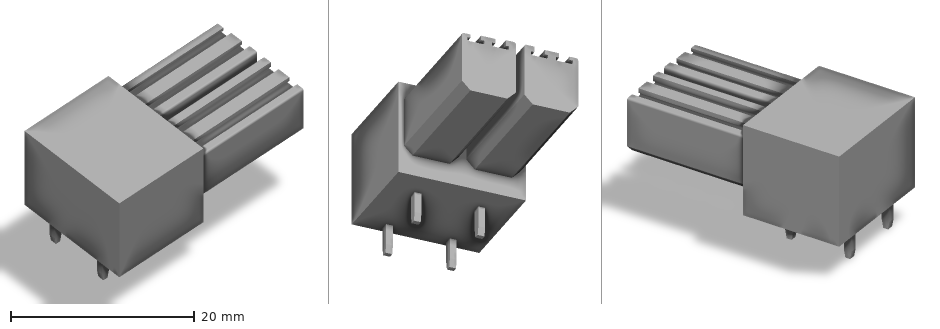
import cadquery as cq

BLOCK_WIDTH = 15.23
BLOCK_DEPTH = 12.5
BLOCK_HEIGHT = 11.4
TOTAL_LENGTH = 28.0

PITCH = 7.62

PLUG_LENGTH = TOTAL_LENGTH - BLOCK_DEPTH
PLUG_WIDTH = 6.45
PLUG_GAP = 1.0
PLUG_HEIGHT = 7.35
PLUG_DROP = 1.6
PLUG_CHAMFER = 1.0
PLUG_FILLET = 0.25
RIB_STEP = 0.15

CENTRE_RIB_WIDTH = 1.7
SLOT_WIDTH = 1.25
SLOT_DEPTH = 1.0
LIP_THICKNESS = 0.55
UNDERCUT = 0.4
UNDERCUT_FILLET = 0.22

PIN_LENGTH = 3.5
PIN_WIDTH = 0.8
PIN_THICKNESS = 1.0
PIN_TIP_THICKNESS = 0.62
PIN_TAPER_LENGTH = 1.0
FRONT_PIN_Y = 1.1

BLOCK_TOP = PIN_LENGTH + BLOCK_HEIGHT
PLUG_TOP = BLOCK_TOP - PLUG_DROP
PLUG_BOTTOM = PLUG_TOP - PLUG_HEIGHT
CENTRE_RIB_X = -PITCH / 2
CENTRE_RIB_TOP = PLUG_TOP - RIB_STEP
OUTER_RIB_TOP = CENTRE_RIB_TOP - RIB_STEP
SLOT_OFFSET = (CENTRE_RIB_WIDTH + SLOT_WIDTH) / 2


def box_between(x_min, x_max, y_min, y_max, z_min, z_max):
    """Box given by its limits along each axis."""
    size = (x_max - x_min, y_max - y_min, z_max - z_min)
    return cq.Workplane("XY").box(*size, centered=False).translate((x_min, y_min, z_min))


def make_block():
    half_width = BLOCK_WIDTH / 2
    return box_between(-half_width, half_width, 0, BLOCK_DEPTH, PIN_LENGTH, BLOCK_TOP)


def make_slot(centre_x):
    """Cutter for one slot: a narrow mouth above a wider, round-cornered channel."""
    floor = CENTRE_RIB_TOP - SLOT_DEPTH
    lip_bottom = CENTRE_RIB_TOP - LIP_THICKNESS
    mouth_half = SLOT_WIDTH / 2
    channel_half = mouth_half + UNDERCUT
    mouth = box_between(
        centre_x - mouth_half, centre_x + mouth_half, BLOCK_DEPTH, TOTAL_LENGTH, floor, PLUG_TOP
    )
    channel = box_between(
        centre_x - channel_half, centre_x + channel_half, BLOCK_DEPTH, TOTAL_LENGTH, floor, lip_bottom
    )
    channel = channel.edges("|Y and <Z").fillet(UNDERCUT_FILLET)
    return mouth.union(channel)


def make_left_plug():
    """Plug on the -X side; its ribs step down from the inner edge to the outer edge."""
    inner_x = -PLUG_GAP / 2
    outer_x = inner_x - PLUG_WIDTH
    outer_slot_x = CENTRE_RIB_X - SLOT_OFFSET
    inner_slot_x = CENTRE_RIB_X + SLOT_OFFSET
    outline = [
        (outer_x + PLUG_CHAMFER, PLUG_BOTTOM),
        (inner_x - PLUG_CHAMFER, PLUG_BOTTOM),
        (inner_x, PLUG_BOTTOM + PLUG_CHAMFER),
        (inner_x, PLUG_TOP),
        (inner_slot_x, PLUG_TOP),
        (inner_slot_x, CENTRE_RIB_TOP),
        (outer_slot_x, CENTRE_RIB_TOP),
        (outer_slot_x, OUTER_RIB_TOP),
        (outer_x, OUTER_RIB_TOP),
        (outer_x, PLUG_BOTTOM + PLUG_CHAMFER),
    ]
    plug = cq.Workplane("XZ", origin=(0, BLOCK_DEPTH, 0)).polyline(outline).close().extrude(-PLUG_LENGTH)
    middle_y = BLOCK_DEPTH + PLUG_LENGTH / 2
    upper_corners = [(outer_x, OUTER_RIB_TOP), (inner_x, PLUG_TOP)]
    for x, z in upper_corners:
        plug = plug.edges(cq.NearestToPointSelector((x, middle_y, z))).fillet(PLUG_FILLET)
    for slot_x in (outer_slot_x, inner_slot_x):
        plug = plug.cut(make_slot(slot_x))
    return plug


def make_housing():
    """Block and both plugs, moulded as one body."""
    left_plug = make_left_plug()
    right_plug = left_plug.mirror("YZ")
    return make_block().union(left_plug).union(right_plug)


def make_pin(x, y):
    """Post that hangs from the underside of the block, tapered in Y at its tip."""
    half = PIN_THICKNESS / 2
    tip_half = PIN_TIP_THICKNESS / 2
    outline = [
        (y - half, PIN_LENGTH),
        (y - half, PIN_TAPER_LENGTH),
        (y - tip_half, 0),
        (y + tip_half, 0),
        (y + half, PIN_TAPER_LENGTH),
        (y + half, PIN_LENGTH),
    ]
    profile = cq.Workplane("YZ", origin=(x, 0, 0)).polyline(outline).close()
    return profile.extrude(PIN_WIDTH / 2, both=True)


housing = make_housing()
pins = []
for pin_x in (-PITCH / 2, PITCH / 2):
    for pin_y in (FRONT_PIN_Y, FRONT_PIN_Y + PITCH):
        pins.append(make_pin(pin_x, pin_y).val())

result = cq.Compound.makeCompound([housing.val(), *pins])